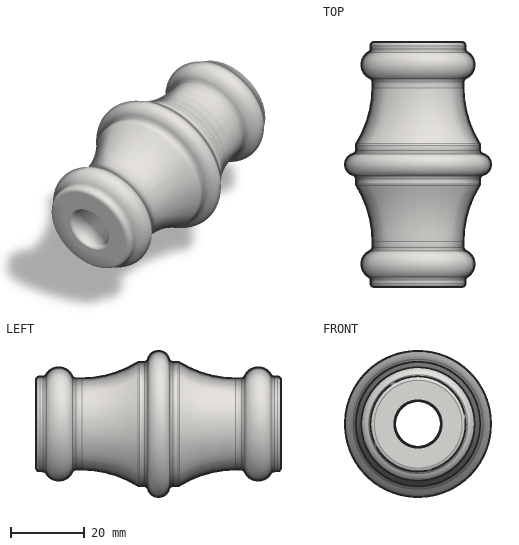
import cadquery as cq
import math

length = 67.0
half_length = length / 2

ring_outer_radius = 20.0
belt_radius = 17.0
ring_bead_radius = ring_outer_radius - belt_radius
belt_half_width = 5.5

neck_radius = 12.5
flank_arc_radius = 29.0

bead_position = 27.25
bead_outer_radius = 15.5
bead_arc_radius = 4.0
collar_radius = 13.0

bore_radius = 6.2
bore_chamfer = 0.3
edge_fillet = 1.0

bead_center_radius = bead_outer_radius - bead_arc_radius
flank_center_radius = neck_radius + flank_arc_radius
flank_length = math.sqrt(flank_arc_radius**2 - (flank_center_radius - belt_radius) ** 2)
flank_end = belt_half_width + flank_length


def bead_half_width(radius):
    """Half the width of the end bead where it meets a cylinder of the given radius."""
    return math.sqrt(bead_arc_radius**2 - (radius - bead_center_radius) ** 2)


def flank_radius(position):
    """Radius of the concave flank at a position along the axis."""
    return flank_center_radius - math.sqrt(flank_arc_radius**2 - (flank_end - position) ** 2)


def revolve_about_axis(profile):
    """Revolve a closed (position along Y, radius) profile fully about the Y axis."""
    return profile.revolve(360, (0, 0, 0), (1, 0, 0))


def make_half_body():
    """Solid half of the sleeve on the +Y side without the ring, all profile corners sharp."""
    flank_middle = (belt_half_width + flank_end) / 2
    profile = (
        cq.Workplane("YZ")
        .lineTo(0, belt_radius)
        .lineTo(belt_half_width, belt_radius)
        .threePointArc((flank_middle, flank_radius(flank_middle)), (flank_end, neck_radius))
        .lineTo(bead_position - bead_half_width(neck_radius), neck_radius)
        .threePointArc(
            (bead_position, bead_outer_radius),
            (bead_position + bead_half_width(collar_radius), collar_radius),
        )
        .lineTo(half_length, collar_radius)
        .lineTo(half_length, 0)
        .close()
    )
    return revolve_about_axis(profile)


def make_ring():
    """Disc with a half-round rim that forms the central ring."""
    profile = (
        cq.Workplane("YZ")
        .moveTo(-ring_bead_radius, 0)
        .lineTo(-ring_bead_radius, belt_radius)
        .threePointArc((0, ring_outer_radius), (ring_bead_radius, belt_radius))
        .lineTo(ring_bead_radius, 0)
        .close()
    )
    return revolve_about_axis(profile)


def round_corners(body):
    """Round every sharp profile corner on both sides, from the ring root out to the end face."""
    corner_positions = [
        ring_bead_radius,
        belt_half_width,
        bead_position - bead_half_width(neck_radius),
        bead_position + bead_half_width(collar_radius),
        half_length,
    ]
    for position in corner_positions:
        for side in (-1, 1):
            corner_edge = cq.selectors.NearestToPointSelector((0, side * position, 0))
            body = body.edges("%CIRCLE").edges(corner_edge).fillet(edge_fillet)
    return body


def make_bore_cutter():
    """Through bore cutter, flared by the chamfer at both mouths."""
    mouth_radius = bore_radius + bore_chamfer
    profile = (
        cq.Workplane("YZ")
        .moveTo(-half_length, 0)
        .lineTo(-half_length, mouth_radius)
        .lineTo(-half_length + bore_chamfer, bore_radius)
        .lineTo(half_length - bore_chamfer, bore_radius)
        .lineTo(half_length, mouth_radius)
        .lineTo(half_length, 0)
        .close()
    )
    return revolve_about_axis(profile)


half_body = make_half_body()
sharp_body = half_body.union(half_body.mirror("XZ")).union(make_ring()).clean()
result = round_corners(sharp_body).cut(make_bore_cutter())